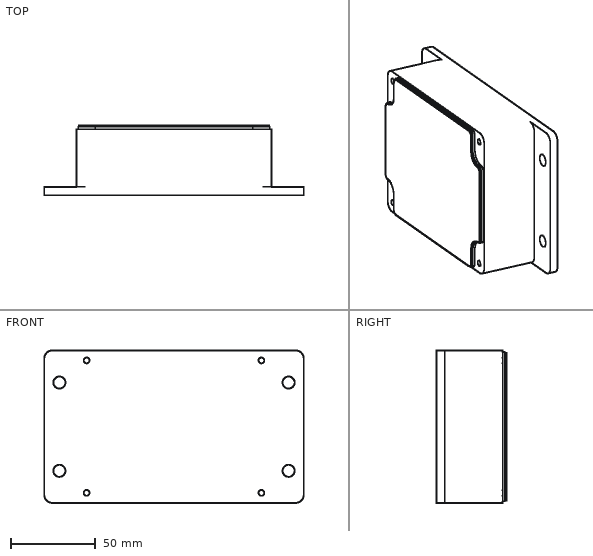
import cadquery as cq

FLANGE_LENGTH = 153.0
HEIGHT = 90.0
FLANGE_THICKNESS = 5.0
CORNER_RADIUS = 5.0

BODY_LENGTH = 115.0
BODY_TOP = 39.0

TOTAL_DEPTH = 41.4
LOWER_TIER_TOP = 40.4
LOWER_TIER_INSET = 1.0
UPPER_TIER_INSET = 1.5
NOTCH_INNER_RADIUS = 7.0
PANEL_OUTER_RADIUS = 3.0
NOTCH_LENGTH = NOTCH_INNER_RADIUS + PANEL_OUTER_RADIUS
NOTCH_HEIGHT = 19.25

MOUNT_HOLE_DIAMETER = 7.0
MOUNT_HOLE_SPACING_X = 135.0
MOUNT_HOLE_SPACING_Z = 52.0
SCREW_HOLE_DIAMETER = 3.3
SCREW_HOLE_SPACING_X = 103.0
SCREW_HOLE_SPACING_Z = 78.0


def xz_plane(y):
    """Sketch plane at depth y; its normal is -Y, so a negative extrusion grows toward +Y."""
    return cq.Workplane("XZ", origin=(0, y, 0))


def rounded_slab(length, depth):
    """Slab from y = 0 to the given depth with rounded corners along Y."""
    slab = xz_plane(0).rect(length, HEIGHT).extrude(-depth)
    return slab.edges("|Y").fillet(CORNER_RADIUS)


def panel_tier(base_y, top_y, inset):
    """One tier of the lid panel: a rectangle with a rounded notch at each corner, mirrored from one quarter."""
    half_length = BODY_LENGTH / 2 - inset
    half_height = HEIGHT / 2 - inset
    notch_x = half_length - NOTCH_LENGTH
    notch_z = half_height - NOTCH_HEIGHT
    quarter = (
        xz_plane(base_y)
        .lineTo(0, half_height)
        .lineTo(notch_x - PANEL_OUTER_RADIUS, half_height)
        .radiusArc((notch_x, half_height - PANEL_OUTER_RADIUS), PANEL_OUTER_RADIUS)
        .lineTo(notch_x, notch_z + NOTCH_INNER_RADIUS)
        .radiusArc((notch_x + NOTCH_INNER_RADIUS, notch_z), -NOTCH_INNER_RADIUS)
        .radiusArc((half_length, notch_z - PANEL_OUTER_RADIUS), PANEL_OUTER_RADIUS)
        .lineTo(half_length, 0)
        .close()
        .extrude(base_y - top_y)
    )
    half = quarter.union(quarter.mirror("YZ"))
    return half.union(half.mirror("XY"))


def hole_pattern(spacing_x, spacing_z, diameter, depth):
    """Four pins at the corners of a rectangle, used to cut holes from y = 0."""
    pattern = xz_plane(0).rect(spacing_x, spacing_z, forConstruction=True).vertices()
    return pattern.circle(diameter / 2).extrude(-depth)


flange = rounded_slab(FLANGE_LENGTH, FLANGE_THICKNESS)
body = rounded_slab(BODY_LENGTH, BODY_TOP)
lower_tier = panel_tier(BODY_TOP, LOWER_TIER_TOP, LOWER_TIER_INSET)
upper_tier = panel_tier(LOWER_TIER_TOP, TOTAL_DEPTH, UPPER_TIER_INSET)
mount_holes = hole_pattern(MOUNT_HOLE_SPACING_X, MOUNT_HOLE_SPACING_Z, MOUNT_HOLE_DIAMETER, FLANGE_THICKNESS)
screw_holes = hole_pattern(SCREW_HOLE_SPACING_X, SCREW_HOLE_SPACING_Z, SCREW_HOLE_DIAMETER, TOTAL_DEPTH)

result = flange.union(body).union(lower_tier).union(upper_tier).cut(mount_holes).cut(screw_holes)